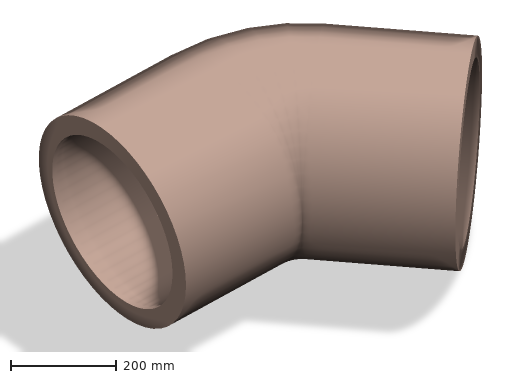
import cadquery as cq
import math

outer_diameter = 450.0
wall = 41.0
inlet_length = 282.0
outlet_length = 293.0
bend_angle = 45
inside_bend_gap = 1.0

outer_radius = outer_diameter / 2
inner_radius = outer_radius - wall
bend_radius = outer_radius + inside_bend_gap


def elbow(radius):
    """Solid round bar following the inlet leg, the bend and the outlet leg."""
    end_plane = cq.Workplane("XZ")
    inlet = end_plane.circle(radius).extrude(inlet_length)
    bend = end_plane.circle(radius).revolve(
        bend_angle, (bend_radius, 0, 0), (bend_radius, -1, 0)
    )

    turn = math.radians(bend_angle)
    bend_end = (bend_radius * (1 - math.cos(turn)), bend_radius * math.sin(turn), 0)
    outlet_direction = (math.sin(turn), math.cos(turn), 0)
    outlet_plane = cq.Plane(origin=bend_end, xDir=(0, 0, 1), normal=outlet_direction)
    outlet = cq.Workplane(outlet_plane).circle(radius).extrude(outlet_length)
    return inlet.union(bend).union(outlet)


result = elbow(outer_radius).cut(elbow(inner_radius))